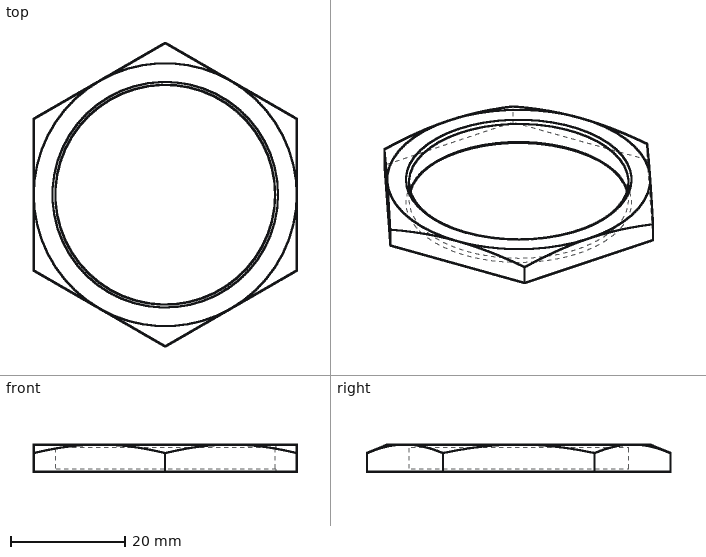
import cadquery as cq
import math

across_corners = 53.1
across_flats = across_corners * math.cos(math.pi / 6)
height = 4.8
bore_diameter = 38.4
bore_chamfer = 0.55
crown_diameter = across_flats
corner_drop = 1.5


def hexagon_blank():
    return (
        cq.Workplane("XY")
        .polygon(6, across_corners)
        .extrude(height)
        .rotate((0, 0, 0), (0, 0, 1), 90)
    )


def crown_envelope():
    """Solid of revolution whose conical shoulder trims the upper corners."""
    corner_radius = across_corners / 2
    crown_radius = crown_diameter / 2
    return (
        cq.Workplane("XZ")
        .moveTo(0, 0)
        .lineTo(corner_radius, 0)
        .lineTo(corner_radius, height - corner_drop)
        .lineTo(crown_radius, height)
        .lineTo(0, height)
        .close()
        .revolve(360, (0, 0, 0), (0, 1, 0))
    )


def chamfered_bore():
    """Cutter for the through bore, widened by a 45 degree chamfer at both ends."""
    radius = bore_diameter / 2
    mouth_radius = radius + bore_chamfer
    return (
        cq.Workplane("XZ")
        .moveTo(0, 0)
        .lineTo(mouth_radius, 0)
        .lineTo(radius, bore_chamfer)
        .lineTo(radius, height - bore_chamfer)
        .lineTo(mouth_radius, height)
        .lineTo(0, height)
        .close()
        .revolve(360, (0, 0, 0), (0, 1, 0))
    )


result = hexagon_blank().intersect(crown_envelope()).cut(chamfered_bore())